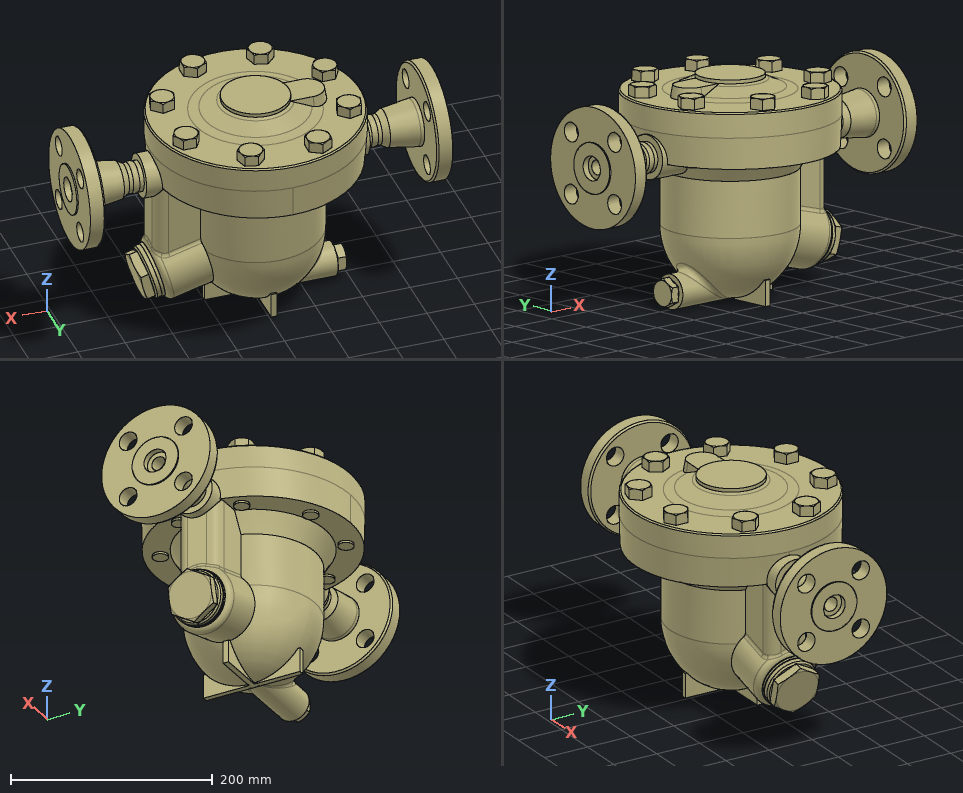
import cadquery as cq
import math


body_d = 140.0
dome_height = 74.5
dome_bottom_z = 1.0
shoulder_z = 134.0
shoulder_top_d = 164.8
flange_bottom_z = 155.0
flange_split_z = 187.0
cover_top_z = 213.0
flange_d = 222.0
flange_bottom_x_width = 216.5
cover_edge_chamfer = 1.5

top_z = 229.0
cap_d = 70.0
cap_rim_z = 225.2
cap_foot_d = 77
cap_foot_z = 223.3
cone_break_d = 112.5
cone_break_z = 215.2
cone_d = 134.8
tab_end_x = -74.0
tab_width = 37.7
tab_draft = 10
tab_top_z = 225.2

bolt_count = 8
bolt_circle_d = 185.5
bolt_across_flats = 24.0
bolt_head_top_z = 224.5
bolt_d = 16.0
bolt_tip = 2.5

pipe_z = 160.0
inlet_x = -187.5
outlet_x = 197.5
face_d = 52.5
face_height = 1.5
pipe_flange_d = 124.0
pipe_flange_back = 18.0
pipe_flange_chamfer = 2.0
hub_start = 22.0
hub_foot_d = 49.5
hub_large_d = 49.0
hub_end = 52.5
hub_small_d = 40.0
neck_start = 59.3
neck_d = 32.0
weld_start = 63.5
weld_end = 70.0
weld_rise = 0.8
pipe_length = 74.5
pipe_boss_d = 46.0
socket_d = 25.0
socket_depth = 7.0
bore_d = 15.0
pipe_hole_count = 4
pipe_hole_d = 20.0
pipe_hole_circle_d = 89.5

strainer_tilt = 15
strainer_x = 117.5
strainer_z = 44.3
strainer_d = 70.0
strainer_length = 69.3
strainer_round = 7.0
strainer_gasket_d = 58.0
strainer_gasket_height = 3.5
strainer_cap_d = 56.5
strainer_cap_height = 10.0
strainer_cap_chamfer = 2.0
strainer_hex_flats = 48.0
strainer_hex_height = 9.5

web_width = 47.0
web_bottom_z = 69.3
web_end_x = 112.8
web_corner = 12.7
web_top_run = 9.0
web_top_drop = 10.8
web_fillet = 6.0

drain_d = 36.0
drain_end_x = -81
drain_fillet = 5.8
drain_seat_d = 24.5
drain_hex_flats = 26.5
drain_hex_x = -82.5
drain_tip_x = -91.5

foot_reach = 55.0
foot_thickness = 6.0
foot_height = 27

hex_edge_chamfer = 1.0


def hex_head(plane, across_flats, height, turn=0):
    """Hexagonal head on a plane, with its far corners turned off to a cone."""
    corners = across_flats / math.cos(math.pi / 6)
    head = cq.Workplane("XY").polygon(6, corners).extrude(height)
    cone = cq.Workplane("XY").circle(corners / 2).extrude(height)
    cone = cone.faces(">Z").chamfer(hex_edge_chamfer, (corners - across_flats) / 2)
    head = head.intersect(cone).rotate((0, 0, 0), (0, 0, 1), turn)
    return cq.Workplane(head.val().located(plane.location))


def make_vessel():
    profile = (
        cq.Workplane("XZ")
        .moveTo(0, dome_bottom_z)
        .lineTo(0, flange_split_z)
        .lineTo(shoulder_top_d / 2, flange_split_z)
        .lineTo(shoulder_top_d / 2, flange_bottom_z)
        .lineTo(body_d / 2, shoulder_z)
        .lineTo(body_d / 2, dome_bottom_z + dome_height)
        .ellipseArc(body_d / 2, dome_height, 270, 360, sense=-1, startAtCurrent=True)
        .close()
    )
    return profile.revolve(360, (0, 0), (0, 1))


def make_lower_flange():
    return (
        cq.Workplane("XY", origin=(0, 0, flange_bottom_z))
        .ellipse(flange_bottom_x_width / 2, flange_d / 2)
        .workplane(offset=flange_split_z - flange_bottom_z)
        .circle(flange_d / 2)
        .loft()
    )


def make_cover():
    profile = (
        cq.Workplane("XZ")
        .moveTo(0, flange_split_z)
        .lineTo(flange_d / 2, flange_split_z)
        .lineTo(flange_d / 2, cover_top_z - cover_edge_chamfer)
        .lineTo(flange_d / 2 - cover_edge_chamfer, cover_top_z)
        .lineTo(cone_d / 2, cover_top_z)
        .tangentArcPoint((cone_break_d / 2, cone_break_z), relative=False)
        .lineTo(cap_foot_d / 2, cap_foot_z)
        .lineTo(cap_d / 2, cap_rim_z)
        .lineTo(cap_d / 2, top_z)
        .lineTo(0, top_z)
        .close()
    )
    cover = profile.revolve(360, (0, 0), (0, 1))
    tab_round = tab_width / 2
    tab = (
        cq.Workplane("XY", origin=(0, 0, cover_top_z))
        .moveTo(0, -tab_round)
        .lineTo(tab_end_x + tab_round, -tab_round)
        .threePointArc((tab_end_x, 0), (tab_end_x + tab_round, tab_round))
        .lineTo(0, tab_round)
        .close()
        .extrude(tab_top_z - cover_top_z, taper=tab_draft)
    )
    return cover.union(tab)


def make_bolts():
    """Hexagon heads on the cover and bolt tips under the lower flange."""
    bolts = cq.Workplane("XY")
    pitch = 360 / bolt_count
    for i in range(bolt_count):
        angle = (i + 0.5) * pitch
        x = bolt_circle_d / 2 * math.cos(math.radians(angle))
        y = bolt_circle_d / 2 * math.sin(math.radians(angle))
        seat = cq.Plane(origin=(x, y, cover_top_z))
        head = hex_head(seat, bolt_across_flats, bolt_head_top_z - cover_top_z, i * pitch)
        tip = (
            cq.Workplane("XY", origin=(x, y, flange_bottom_z - bolt_tip))
            .circle(bolt_d / 2)
            .extrude(cover_top_z - flange_bottom_z + bolt_tip)
        )
        bolts = bolts.union(head).union(tip)
    return bolts


def pipe_plane(x):
    """Plane on a pipe's outer face, looking in towards the vessel axis."""
    return cq.Plane(origin=(x, 0, pipe_z), xDir=(0, 1, 0), normal=(-math.copysign(1, x), 0, 0))


def make_pipe(x):
    """Welding-neck flange, pipe neck and boss that reach to the vessel axis."""
    axis_reach = abs(x)
    flange_edge = pipe_flange_d / 2 - pipe_flange_chamfer
    weld_middle = (weld_start + weld_end) / 2
    profile = (
        cq.Workplane("XY")
        .lineTo(face_d / 2, 0)
        .lineTo(face_d / 2, face_height)
        .lineTo(pipe_flange_d / 2, face_height)
        .lineTo(pipe_flange_d / 2, pipe_flange_back - pipe_flange_chamfer)
        .lineTo(flange_edge, pipe_flange_back)
        .lineTo(hub_foot_d / 2, pipe_flange_back)
        .lineTo(hub_large_d / 2, hub_start)
        .lineTo(hub_small_d / 2, hub_end)
        .lineTo(neck_d / 2, neck_start)
        .lineTo(neck_d / 2, weld_start)
        .threePointArc((neck_d / 2 + weld_rise, weld_middle), (neck_d / 2, weld_end))
        .lineTo(neck_d / 2, pipe_length)
        .lineTo(pipe_boss_d / 2, pipe_length)
        .lineTo(pipe_boss_d / 2, axis_reach)
        .lineTo(0, axis_reach)
        .close()
    )
    pipe = profile.revolve(360, (0, 0), (0, 1)).rotate((0, 0, 0), (1, 0, 0), 90)
    return cq.Workplane(pipe.val().located(pipe_plane(x).location))


def cut_pipe_holes(part, x):
    """Bolt holes, stepped bore and its socket at one pipe end."""
    face = cq.Workplane(pipe_plane(x))
    first_angle = 180 / pipe_hole_count
    bolt_holes = (
        face.polarArray(pipe_hole_circle_d / 2, first_angle, 360, pipe_hole_count)
        .circle(pipe_hole_d / 2)
        .extrude(pipe_flange_back)
    )
    socket = face.circle(socket_d / 2).extrude(socket_depth)
    bore = face.circle(bore_d / 2).extrude(pipe_length)
    return part.cut(bolt_holes).cut(socket).cut(bore)


def strainer_plane(offset):
    """Plane across the strainer axis, at a distance beyond the cap's outer face."""
    tilt = math.radians(strainer_tilt)
    along = (math.cos(tilt), 0, -math.sin(tilt))
    origin = (strainer_x + offset * along[0], 0, strainer_z + offset * along[2])
    return cq.Plane(origin=origin, xDir=(math.sin(tilt), 0, math.cos(tilt)), normal=along)


def make_strainer_chamber():
    start = strainer_plane(-strainer_cap_height - strainer_length)
    chamber = cq.Workplane(start).circle(strainer_d / 2).extrude(strainer_length)
    return chamber.faces(">X").edges().fillet(strainer_round)


def make_web():
    """Upright web from the lower flange down into the strainer chamber."""
    return (
        cq.Workplane("XZ", origin=(0, web_width / 2, 0))
        .moveTo(0, web_bottom_z)
        .lineTo(0, flange_bottom_z)
        .lineTo(web_end_x - web_top_run, flange_bottom_z)
        .lineTo(web_end_x, flange_bottom_z - web_top_drop)
        .lineTo(web_end_x, web_bottom_z)
        .close()
        .extrude(web_width)
        .edges("|Z and >X")
        .fillet(web_corner)
    )


def make_strainer():
    chamber = make_strainer_chamber().union(make_web())
    seams = cq.selectors.BoxSelector(
        (body_d / 2 - web_corner, -web_width, strainer_z),
        (web_end_x - web_corner, web_width, shoulder_z),
    )
    sloping_lines = "%LINE and (not |X) and (not |Y) and (not |Z)"
    chamber = chamber.edges(sloping_lines).edges(seams).fillet(web_fillet)
    cap = (
        cq.Workplane(strainer_plane(-strainer_cap_height))
        .circle(strainer_cap_d / 2)
        .extrude(strainer_cap_height)
        .faces(">X")
        .chamfer(strainer_cap_chamfer)
    )
    gasket = (
        cq.Workplane(strainer_plane(-strainer_cap_height))
        .circle(strainer_gasket_d / 2)
        .extrude(strainer_gasket_height)
    )
    head = hex_head(strainer_plane(0), strainer_hex_flats, strainer_hex_height)
    return chamber.union(gasket).union(cap).union(head)


def add_drain_boss(vessel):
    """Round boss along -X, level with the floor, blended into the dome."""
    boss = (
        cq.Workplane("YZ", origin=(drain_end_x, 0, drain_d / 2))
        .circle(drain_d / 2)
        .extrude(-drain_end_x)
    )
    seam = cq.selectors.BoxSelector((-body_d / 2, -drain_d, -drain_d), (-drain_d / 2, drain_d, drain_d))
    return vessel.union(boss).edges(seam).fillet(drain_fillet)


def make_drain_plug():
    head_plane = cq.Plane(origin=(drain_hex_x, 0, drain_d / 2), xDir=(0, 0, 1), normal=(-1, 0, 0))
    head = hex_head(head_plane, drain_hex_flats, drain_hex_x - drain_tip_x)
    seat = (
        cq.Workplane("YZ", origin=(drain_hex_x, 0, drain_d / 2))
        .circle(drain_seat_d / 2)
        .extrude(drain_end_x - drain_hex_x)
    )
    return head.union(seat)


def make_feet():
    """Three upright plates under the dome, towards +X, +Y and -Y."""
    across = cq.Workplane("XY").box(
        foot_thickness, 2 * foot_reach, foot_height, centered=(True, True, False)
    )
    forward = cq.Workplane("XY").box(
        foot_reach, foot_thickness, foot_height, centered=(False, True, False)
    )
    return across.union(forward)


result = add_drain_boss(make_vessel())
result = result.union(make_strainer()).union(make_feet())
result = result.union(make_drain_plug())
result = result.union(make_lower_flange()).union(make_cover()).union(make_bolts())
for end_x in (inlet_x, outlet_x):
    result = result.union(make_pipe(end_x))
for end_x in (inlet_x, outlet_x):
    result = cut_pipe_holes(result, end_x)